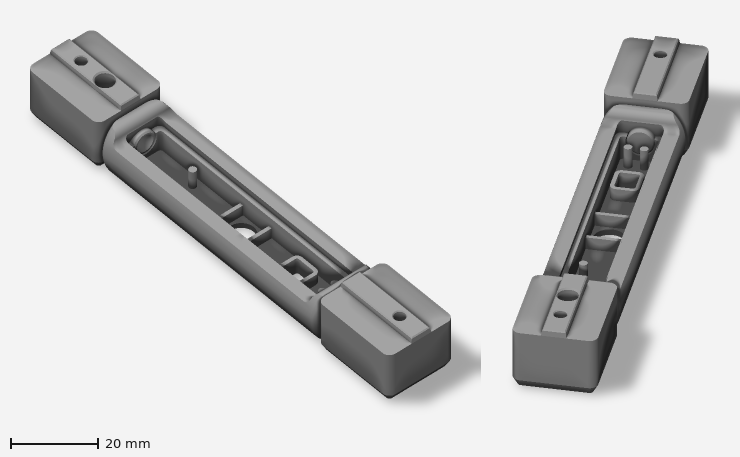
import cadquery as cq
import math

total_length = 126.6
width = 20.0
block_length = 25.0
block_height = 15.0
block_center_x = (total_length - block_length) / 2

block_corner_radius = 2.0
base_taper_height = 2.0
base_taper_inset = 1.1

key_width = 6.0
key_height = 1.5
key_draft = 0.3
key_chamfer = 0.3

screw_diameter = 3.0
screw_chamfer = 0.3
screw_x = 55.7
wire_diameter = 5.0
wire_chamfer = 0.4
wire_drop_x = -47.3

end_gap = 0.4
handle_half_length = total_length / 2 - block_length - end_gap
axis_z = 6.3
collar_height = 13.3
handle_end_radius = 2.0
rail_height = 10.1
collar_flat_x = 36.3
rail_end_x = 32.5

lid_seat_z = 7.6
lid_seat_length = 69.9
lid_seat_width = 11.9
lid_corner_radius = 1.5
lid_undercut_angle = 10
pocket_length = 66.6
pocket_width = 9.1
pocket_corner_radius = 0.8
floor_z = 1.5
pocket_center_y = 0.1

fitting_center_y = 0.3
fitting_wall = 1.0
fitting_top_z = 4.7
switch_size = 9.0
switch_hole_diameter = 7.5
window_x = 19.7
window_length = 6.1
window_width = 5.0
window_corner_radius = 0.6
post_diameter = 2.0
post_top_z = 6.8
post_places = [(-19.4, 2.3), (30.4, 2.3), (30.4, -1.5)]

spigot_diameter = 6.6
bore_diameter = 7.0
spigot_chamfer = 0.4


def slab(length, depth, radius, bottom, top, x=0.0, y=0.0):
    """Upright prism with rounded corners between two heights."""
    body = cq.Workplane("XY").box(length, depth, top - bottom, centered=(True, True, False))
    return body.edges("|Z").fillet(radius).translate((x, y, bottom))


def upright_cylinder(diameter, bottom, top, x, y):
    return cq.Workplane("XY", origin=(x, y, bottom)).circle(diameter / 2).extrude(top - bottom)


def lengthwise_cylinder(diameter, start_x, end_x):
    """Cylinder along X on the axis of the handle."""
    plane = cq.Workplane("YZ", origin=(start_x, 0, axis_z))
    return plane.circle(diameter / 2).extrude(end_x - start_x)


def taper_angle(inset, height):
    """Angle in degrees that draws a wall in by the inset over the height."""
    return math.degrees(math.atan(inset / height))


def make_top_hole(diameter, chamfer, bottom, x):
    """Upright hole from the top of a key down to a height, with a chamfered mouth."""
    top = block_height + key_height
    mouth = cq.Workplane("XY", origin=(x, 0, top)).circle(diameter / 2 + chamfer)
    return upright_cylinder(diameter, bottom, top, x, 0).union(mouth.extrude(-chamfer, taper=45))


def make_block(side):
    """End block with its key, screw hole and spigot; side is -1 (left) or 1 (right)."""
    center_x = side * block_center_x
    block = slab(block_length, width, block_corner_radius, base_taper_height, block_height, center_x)
    base = block.faces("<Z").wires().toPending().workplane().extrude(
        base_taper_height, taper=taper_angle(base_taper_inset, base_taper_height), combine=False
    )
    key = (
        cq.Workplane("XY", origin=(center_x, 0, block_height))
        .rect(block_length, key_width)
        .extrude(key_height, taper=taper_angle(key_draft, key_height))
        .faces(">Z")
        .chamfer(key_chamfer)
    )
    spigot = lengthwise_cylinder(spigot_diameter, side * pocket_length / 2, side * block_center_x)
    spigot = spigot.faces("<X" if side > 0 else ">X").chamfer(spigot_chamfer)
    screw_hole = make_top_hole(screw_diameter, screw_chamfer, 0, side * screw_x)
    return block.union(base).union(key).union(spigot).cut(screw_hole)


def make_wire_passage():
    """Drop hole from the top of the left block into a channel that leaves through its spigot."""
    drop = make_top_hole(wire_diameter, wire_chamfer, axis_z, wire_drop_x)
    channel = lengthwise_cylinder(wire_diameter, wire_drop_x - wire_diameter / 2, -pocket_length / 2)
    return drop.union(channel)


def make_grip():
    """Round bar with flat top and bottom, rounded ends and a top that dips between two collars."""
    bar = lengthwise_cylinder(width, -handle_half_length, handle_half_length)
    bar = bar.intersect(
        cq.Workplane("XY").box(total_length, width, collar_height, centered=(True, True, False))
    )
    bar = bar.faces("<X or >X").edges("not |Y").fillet(handle_end_radius)

    middle_x = (collar_flat_x + rail_end_x) / 2
    middle_z = (collar_height + rail_height) / 2
    half_dip = (
        cq.Workplane("XZ", origin=(0, width, 0))
        .moveTo(0, rail_height)
        .lineTo(rail_end_x, rail_height)
        .tangentArcPoint((middle_x, middle_z), relative=False)
        .tangentArcPoint((collar_flat_x, collar_height), relative=False)
        .lineTo(0, collar_height)
        .close()
        .extrude(2 * width)
    )
    return bar.cut(half_dip).cut(half_dip.mirror("YZ"))


def make_switch_frame(pocket):
    """Square frame around the switch hole, merged into the pocket walls."""
    outer = switch_size + 2 * fitting_wall
    height = fitting_top_z - floor_z
    frame = cq.Workplane("XY", origin=(0, fitting_center_y, floor_z)).rect(outer, outer)
    frame = frame.rect(switch_size, switch_size).extrude(height)
    return frame.intersect(pocket)


def make_lid_seat():
    """Seat for a lid, undercut so that it narrows towards the top."""
    outline = cq.Sketch().rect(lid_seat_length, lid_seat_width).vertices().fillet(lid_corner_radius)
    seat = cq.Workplane("XY", origin=(0, 0, lid_seat_z)).placeSketch(outline)
    return seat.extrude(collar_height - lid_seat_z, taper=lid_undercut_angle)


def make_handle():
    lid_seat = make_lid_seat()
    pocket = slab(
        pocket_length, pocket_width, pocket_corner_radius, floor_z, collar_height, 0, pocket_center_y
    )
    handle = make_grip().cut(lid_seat).cut(pocket)
    handle = handle.union(make_switch_frame(pocket))
    for x, y in post_places:
        handle = handle.union(upright_cylinder(post_diameter, floor_z, post_top_z, x, y))

    window_tube = slab(
        window_length + 2 * fitting_wall,
        window_width + 2 * fitting_wall,
        window_corner_radius + fitting_wall,
        floor_z,
        fitting_top_z,
        window_x,
        fitting_center_y,
    )
    window = slab(
        window_length, window_width, window_corner_radius, 0, fitting_top_z, window_x, fitting_center_y
    )
    switch_hole = upright_cylinder(switch_hole_diameter, 0, floor_z, 0, fitting_center_y)
    handle = handle.union(window_tube).cut(window).cut(switch_hole)
    for side in (-1, 1):
        bore = lengthwise_cylinder(bore_diameter, side * pocket_length / 2, side * handle_half_length)
        handle = handle.cut(bore)
    return handle


left_block = make_block(-1).cut(make_wire_passage())
right_block = make_block(1)
handle = make_handle()

result = cq.Compound.makeCompound([left_block.val(), right_block.val(), handle.val()])